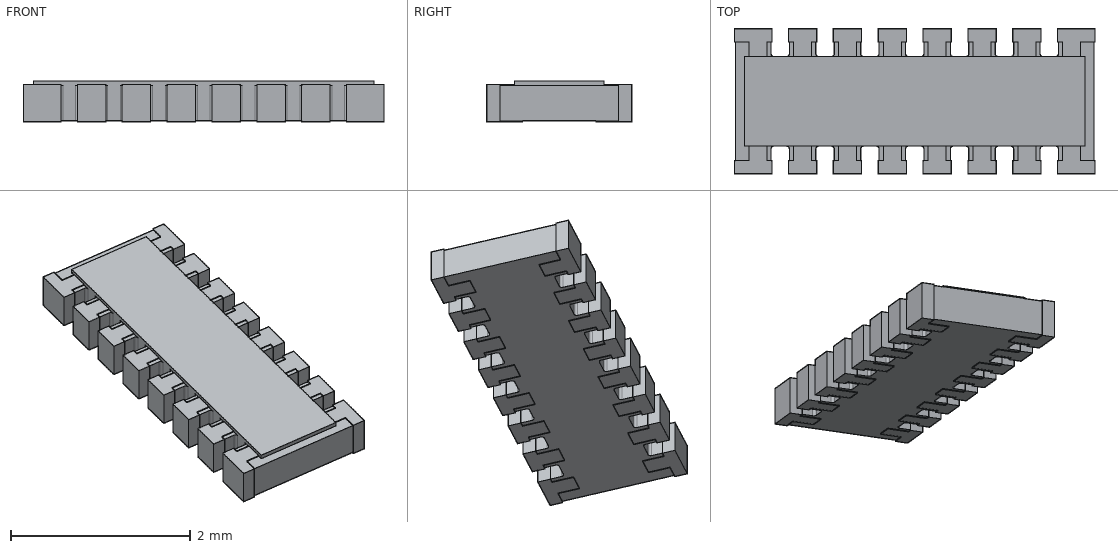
import cadquery as cq


length = 4.02
width = 1.62
height = 0.46

terminals_per_side = 8
plating = 0.01
cap_depth = 0.15
tab_width = 0.2
tab_reach = 0.4

body_length = length - 2 * plating
body_width = width - 2 * plating
body_height = 0.398
tooth_width = 0.297
slot_corner_radius = 0.03
pitch = body_length / terminals_per_side
slot_width = pitch - tooth_width

cover_length = 3.8
cover_width = 1.0

terminal_height = body_height + 2 * plating
body_top = plating + body_height
slot_count = terminals_per_side - 1


def block(x_range, y_range, z_range):
    """Axis-aligned box between the given limits."""
    size_x = x_range[1] - x_range[0]
    size_y = y_range[1] - y_range[0]
    size_z = z_range[1] - z_range[0]
    corner = (x_range[0], y_range[0], z_range[0])
    return cq.Workplane("XY").box(size_x, size_y, size_z, centered=False).translate(corner)


def centered_range(center, size):
    return (center - size / 2, center + size / 2)


def slot(x_center):
    """Cutter for one slot on the +Y side, with rounded corners at its floor."""
    y_range = (cover_width / 2, width / 2)
    cutter = block(centered_range(x_center, slot_width), y_range, (0, terminal_height))
    return cutter.edges("|Z and <Y").fillet(slot_corner_radius)


def terminal(index):
    """Plated cap and pads of one terminal on the +Y side."""
    x_center = (index - (terminals_per_side - 1) / 2) * pitch
    cap_left, cap_right = centered_range(x_center, tooth_width + 2 * plating)
    if index == 0:
        cap_left = -length / 2
    if index == terminals_per_side - 1:
        cap_right = length / 2
    z_range = (0, terminal_height)
    cap = block((cap_left, cap_right), (width / 2 - cap_depth, width / 2), z_range)
    tab = block(centered_range(x_center, tab_width), (width / 2 - tab_reach, width / 2), z_range)
    return cap.union(tab)


def on_both_sides(shape):
    """The shape together with its mirror image on the -Y side."""
    return shape.union(shape.mirror("XZ"))


result = block(
    centered_range(0, body_length),
    centered_range(0, body_width),
    (plating, body_top),
)
for slot_index in range(slot_count):
    slot_x = (slot_index - (slot_count - 1) / 2) * pitch
    result = result.cut(on_both_sides(slot(slot_x)))

for terminal_index in range(terminals_per_side):
    result = result.union(on_both_sides(terminal(terminal_index)))

cover = block(
    centered_range(0, cover_length),
    centered_range(0, cover_width),
    (body_top, height),
)
result = result.union(cover).clean()